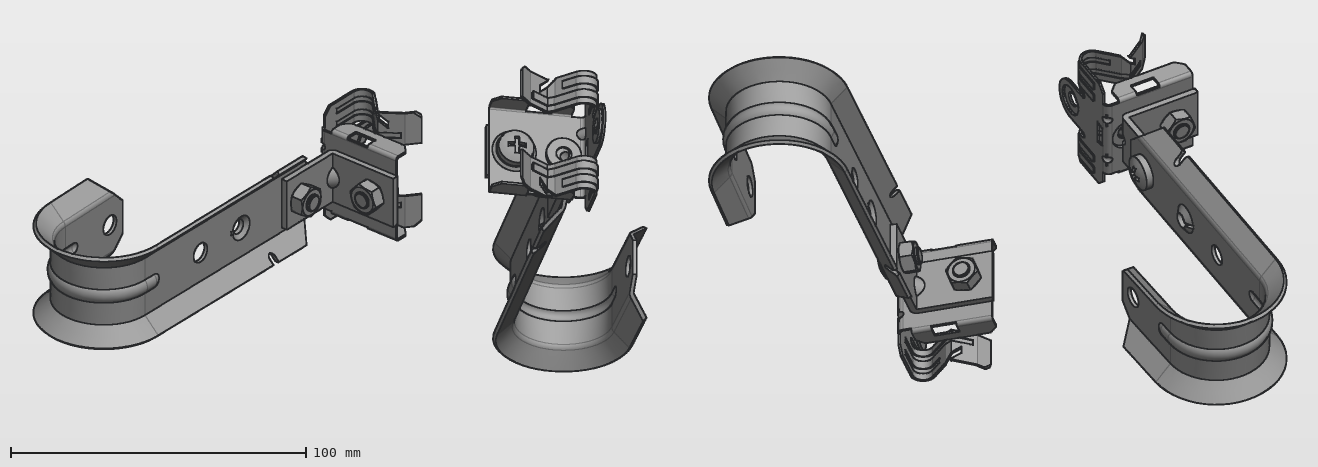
import cadquery as cq
import math


BIG = 100.0

HOOK_WALL = 1.4
HOOK_INNER_RADIUS = 16.7
HOOK_OUTER_RADIUS = HOOK_INNER_RADIUS + HOOK_WALL
HOOK_HALF_WIDTH = 18.0
WEB_HALF_WIDTH = 11.2
WEB_EDGE_RADIUS = 2.6
BACK_TOP = 89.3
FRONT_TOP = 31.2
FRONT_LEAN = 1.5
END_HALF_WIDTH = 6.5
BEAD_RADIUS = 3.9
BEAD_HEIGHT = 1.0
BEAD_CENTRE = HOOK_OUTER_RADIUS + BEAD_HEIGHT - BEAD_RADIUS
BEAD_LIMB_LENGTH = 4.9
BEAD_ROOT = HOOK_OUTER_RADIUS - HOOK_WALL / 4
TIE_HOLE_RADIUS = 3.6
BACK_TIE_HOLE_Y = 29.5
FRONT_TIE_HOLE_Y = 24.2
NOTCH_Y = 62.7
NOTCH_RADIUS = 1.4
NOTCH_BOTTOM = 14.1
NOTCH_LIP = 1.1

PUSH_HOLE_RADIUS = 2.65
PUSH_SLOT_WIDTH = 1.4
HOOK_PUSH_Y = 51.1
HOOK_PUSH_RADIUS = 5.2
HOOK_PUSH_HEIGHT = 1.8

SCREW_RADIUS = 3.0
SCREW_LENGTH = 10.0
SCREW_TIP_CHAMFER = 0.4
HEAD_RADIUS = 6.1
HEAD_RIM = 2.6
HEAD_DOME = 1.95
RECESS_LENGTH = 6.2
RECESS_WIDTH = 1.5
RECESS_DEPTH = 2.0
NUT_FLATS = 10.0
NUT_CORNER_RADIUS = NUT_FLATS / 2 / math.cos(math.pi / 6)
NUT_HEIGHT = 5.2
NUT_CHAMFER = 0.5
SIDE_SCREW_Y = 79.5
CLIP_SCREW_X = 37.7
CLIP_NUT_TURN = -11.0

BRACKET_WALL = 2.3
BRACKET_HALF_WIDTH = 9.5
BRACKET_BEND_RADIUS = BRACKET_WALL
BRACKET_LEFT = HOOK_OUTER_RADIUS
BRACKET_RIGHT = 47.03
BRACKET_TOP = 99.1
BRACKET_END_MARGIN = 7.0
BRACKET_BOTTOM = SIDE_SCREW_Y - BRACKET_END_MARGIN
BRACKET_GROOVE_RADIUS = 2.3
BRACKET_GROOVE_DEPTH = 2.5
BRACKET_RIB_REACH = 5.3

CLIP_WALL = 0.8
CLIP_LEFT = 12.65
CLIP_RIGHT = 46.3
CLIP_BOTTOM = BRACKET_TOP
LEG_BEND_RADIUS = 2.2
FLANGE_BEND_RADIUS = 1.4
CHANNEL_HALF_WIDTH = 16.6
CHANNEL_LEFT = 17.8
CHANNEL_TOP = 107.2
CLIP_CORNER = 2.8
FLANGE_WINDOW_LEFT = 24.8
FLANGE_WINDOW_RIGHT = 33.6
FLANGE_WINDOW_TOP = 103.8
SEAT_RADIUS = 6.5
SEAT_ROOT_RADIUS = 7.6
SEAT_HEIGHT = 1.0
BASE_PUSH_X = 20.8
BASE_PUSH_RADIUS = 6.0
BASE_PUSH_HEIGHT = 1.5
CLIP_GUSSET_Z = 8.8
CLIP_GROOVE_RADIUS = 1.3
CLIP_GROOVE_DEPTH = 1.8
CLIP_RIB_REACH = 3.0

LEG_HALF_WIDTH = 22.3
LEG_BOTTOM = CLIP_BOTTOM + LEG_BEND_RADIUS
TONGUE_TOP = 131.6
TONGUE_HALF_WIDTH = 7.7
TONGUE_CENTRE_Y = TONGUE_TOP - TONGUE_HALF_WIDTH
TONGUE_PUSH_RADIUS = 5.9
TONGUE_PUSH_HEIGHT = 0.9
ARM_INNER_Z = 10.1
ARM_SLOT_BOTTOM = 114.1
ARM_SLOT_CORNER = 1.1
LEG_WINDOW_TOP = 105.3
LEG_WINDOW_BOTTOM = 101.8
LEG_WINDOW_TOP_HALF = 4.5
LEG_WINDOW_BOTTOM_HALF = 3.8
ARM_BEND_RADIUS = 4.4
ARM_BEND_Y = 116.4
ARM_BEND_X = CLIP_LEFT + ARM_BEND_RADIUS
ARM_VALLEY_START = (26.2, 112.7)
ARM_VALLEY_END = (28.7, 111.15)
ARM_KNEE = (35.9, 116.3)
ARM_TIP = (39.5, 120.9)
ARM_TIP_CHAMFER_X = 1.8
ARM_TIP_CHAMFER_Z = 2.4
INNER_RIB_Z = 13.6
OUTER_RIB_Z = 18.7
ARM_RIB_WIDTH = 2.9
ARM_RIB_HEIGHT = 0.45
ARM_RIB_START = 107.0
ARM_RIB_RUN = 5.5
ARM_RIB_CORNER = 0.6
INNER_RIB_END = (34.9, 115.6)

VALLEY_SLIT = [(25.6, 22.7), (27.9, 22.7), (31.6, 18.9), (31.6, 16.3)]
TIP_END = ARM_TIP[0] + CLIP_WALL / 2
TIP_CORNER = [
    (TIP_END + CLIP_WALL, LEG_HALF_WIDTH + CLIP_WALL),
    (TIP_END - ARM_TIP_CHAMFER_X, LEG_HALF_WIDTH + CLIP_WALL),
    (TIP_END - ARM_TIP_CHAMFER_X, LEG_HALF_WIDTH),
    (TIP_END, LEG_HALF_WIDTH - ARM_TIP_CHAMFER_Z),
    (TIP_END + CLIP_WALL, LEG_HALF_WIDTH - ARM_TIP_CHAMFER_Z),
]


def slab(x_range, y_range, z_range):
    (x0, x1), (y0, y1), (z0, z1) = x_range, y_range, z_range
    return cq.Workplane("XY").box(x1 - x0, y1 - y0, z1 - z0, centered=False).translate((x0, y0, z0))


def prism_z(points, z0, z1):
    return cq.Workplane("XY", origin=(0, 0, z0)).polyline(points).close().extrude(z1 - z0)


def prism_x(points, x0, x1):
    """Prism along X from an outline of (y, z) points."""
    return cq.Workplane("YZ", origin=(x0, 0, 0)).polyline(points).close().extrude(x1 - x0)


def prism_y(points):
    """Long prism along Y from an outline of (x, z) points."""
    return cq.Workplane("XZ", origin=(0, 2 * BIG, 0)).polyline(points).close().extrude(4 * BIG)


def rod(radius, start, direction, length):
    return cq.Workplane(cq.Solid.makeCylinder(radius, length, cq.Vector(*start), cq.Vector(*direction)))


def cone(root_radius, tip_radius, height, start, direction):
    """Truncated cone, or a cylinder when both radii agree."""
    if root_radius == tip_radius:
        return rod(root_radius, start, direction, height)
    return cq.Workplane(
        cq.Solid.makeCone(root_radius, tip_radius, height, cq.Vector(*start), cq.Vector(*direction))
    )


def mirrored_z(points):
    return [(a, -b) for a, b in points]


def both_sides(shape):
    return shape.union(shape.mirror("XY"))


def emboss(sheet, face_point, direction, root_radius, tip_radius, height, wall):
    """Push a round boss out of a sheet, hollow from the far side, starting at a point on its face."""
    face = cq.Vector(*face_point)
    way = cq.Vector(*direction)
    back = (face - way * wall).toTuple()
    boss = cone(root_radius, tip_radius, height, face_point, direction)
    hollow = cone(root_radius - wall / 2, tip_radius - wall / 2, height, back, direction)
    return sheet.union(boss).cut(hollow)


def push_hole(sheet, face_point, direction, root_radius, tip_radius, height, wall):
    """Hole through the tip of an embossed boss."""
    sheet = emboss(sheet, face_point, direction, root_radius, tip_radius, height, wall)
    start = (cq.Vector(*face_point) - cq.Vector(*direction) * (2 * wall)).toTuple()
    return sheet.cut(rod(PUSH_HOLE_RADIUS, start, direction, height + 3 * wall))


def push_slot(x_range, y_centre, length):
    """Slot running from the centre of a push-fit hole toward -Y."""
    half = PUSH_SLOT_WIDTH / 2
    return slab(x_range, (y_centre - length, y_centre), (-half, half))


def bend_gusset(sheet, corner, y_sign, z, wall, groove_radius, groove_depth, rib_reach):
    """Round rib pressed diagonally across a bend, with its groove on the outside.

    The bend runs along Z; its inner side lies toward +X and toward y_sign along Y."""
    diagonal = math.sqrt(0.5)
    axis_depth = groove_depth - groove_radius
    along = (diagonal, -y_sign * diagonal, 0)
    length = 4 * rib_reach
    start = (
        corner[0] + diagonal * (axis_depth - length / 2),
        corner[1] + y_sign * diagonal * (axis_depth + length / 2),
        z,
    )
    sheet_middle = wall / 2
    inside = slab((sheet_middle, BIG), (sheet_middle, BIG), (-BIG, BIG))
    if y_sign < 0:
        inside = inside.mirror("XZ")
    inside = inside.translate((corner[0], corner[1], 0))
    rib = rod(rib_reach - axis_depth, start, along, length).intersect(inside)
    return sheet.union(rib).cut(rod(groove_radius, start, along, length))



def sweep_hook(outline, back_length, front_length):
    """Carry an outline of (radius, z) along the back limb, the bend and the leaning front limb."""
    back = outline().extrude(-back_length)
    bend = outline().revolve(180 - FRONT_LEAN, (0, 0), (0, -1))
    front = outline().extrude(-front_length).mirror("YZ").rotate((0, 0, 0), (0, 0, 1), FRONT_LEAN)
    return back.union(bend).union(front)


def hook_section():
    """Flat web with a flange flared outward at 45 degrees on each edge, rounded on the inner side."""
    diagonal = math.sqrt(0.5)
    half_bend = math.pi / 8
    edge_z = WEB_HALF_WIDTH + HOOK_WALL * math.tan(half_bend)
    setback = WEB_EDGE_RADIUS * math.tan(half_bend)
    web_end = (HOOK_INNER_RADIUS, edge_z - setback)
    arc_middle = (
        HOOK_INNER_RADIUS + WEB_EDGE_RADIUS * (1 - math.cos(half_bend)),
        edge_z - setback + WEB_EDGE_RADIUS * math.sin(half_bend),
    )
    flange_start = (HOOK_INNER_RADIUS + setback * diagonal, edge_z + setback * diagonal)
    flange_tip = (HOOK_INNER_RADIUS + HOOK_HALF_WIDTH - edge_z, HOOK_HALF_WIDTH)
    lip = (flange_tip[0] + HOOK_WALL * diagonal, flange_tip[1] - HOOK_WALL * diagonal)
    web_corner = (HOOK_OUTER_RADIUS, WEB_HALF_WIDTH)
    low = mirrored_z([web_end, arc_middle, flange_start, flange_tip, lip, web_corner])
    return (
        cq.Workplane("XZ")
        .moveTo(*low[0])
        .lineTo(*web_end)
        .threePointArc(arc_middle, flange_start)
        .lineTo(*flange_tip)
        .lineTo(*lip)
        .lineTo(*web_corner)
        .lineTo(*low[5])
        .lineTo(*low[4])
        .lineTo(*low[3])
        .lineTo(*low[2])
        .threePointArc(low[1], low[0])
        .close()
    )


def hook_bead(radius):
    """Round bar along the bend with ball ends; only its outermost part shows as the bead."""
    def outline():
        return cq.Workplane("XZ").moveTo(BEAD_CENTRE, 0).circle(radius)

    ball = cq.Workplane("XY").sphere(radius)
    lean = math.radians(FRONT_LEAN)
    front_end = (
        -BEAD_CENTRE * math.cos(lean) - BEAD_LIMB_LENGTH * math.sin(lean),
        -BEAD_CENTRE * math.sin(lean) + BEAD_LIMB_LENGTH * math.cos(lean),
        0,
    )
    bar = sweep_hook(outline, BEAD_LIMB_LENGTH, BEAD_LIMB_LENGTH)
    return bar.union(ball.translate((BEAD_CENTRE, BEAD_LIMB_LENGTH, 0))).union(ball.translate(front_end))


def outside_web():
    """Space on the outer side of the web, where the bead stands proud."""
    def outline():
        return (
            cq.Workplane("XZ")
            .moveTo(BEAD_ROOT, -WEB_HALF_WIDTH)
            .lineTo(HOOK_OUTER_RADIUS + BIG, -WEB_HALF_WIDTH)
            .lineTo(HOOK_OUTER_RADIUS + BIG, WEB_HALF_WIDTH)
            .lineTo(BEAD_ROOT, WEB_HALF_WIDTH)
            .close()
        )

    return sweep_hook(outline, FRONT_TOP, FRONT_TOP)


def end_corner(top, x_range):
    """Corner at a strip end beyond the 45 degree trim line on the +Z side."""
    corner = [
        (top, END_HALF_WIDTH),
        (top - BIG, END_HALF_WIDTH + BIG),
        (top + BIG, END_HALF_WIDTH + BIG),
        (top + BIG, END_HALF_WIDTH),
    ]
    return prism_x(corner, *x_range)


def flange_notch():
    """Round-bottomed notch with flared mouth, through the flange of the back limb along X."""
    centre_z = NOTCH_BOTTOM + NOTCH_RADIUS
    lip_z = HOOK_HALF_WIDTH - NOTCH_LIP
    mouth = NOTCH_RADIUS + NOTCH_LIP
    left = NOTCH_Y - NOTCH_RADIUS
    right = NOTCH_Y + NOTCH_RADIUS
    curve = NOTCH_LIP * (1 - math.sqrt(0.5))
    return (
        cq.Workplane("YZ")
        .moveTo(left, centre_z)
        .threePointArc((NOTCH_Y, NOTCH_BOTTOM), (right, centre_z))
        .lineTo(right, lip_z)
        .threePointArc((right + curve, HOOK_HALF_WIDTH - curve), (NOTCH_Y + mouth, HOOK_HALF_WIDTH))
        .lineTo(NOTCH_Y + mouth, HOOK_HALF_WIDTH + 1)
        .lineTo(NOTCH_Y - mouth, HOOK_HALF_WIDTH + 1)
        .lineTo(NOTCH_Y - mouth, HOOK_HALF_WIDTH)
        .threePointArc((left - curve, HOOK_HALF_WIDTH - curve), (left, lip_z))
        .close()
        .extrude(BIG)
    )


def make_hook():
    back_side = (0, BIG)
    front_side = (-BIG, 0)
    hook = sweep_hook(hook_section, BACK_TOP, BIG)
    hook = hook.cut(slab(front_side, (FRONT_TOP, 2 * BIG), (-BIG, BIG)))
    hook = hook.union(hook_bead(BEAD_RADIUS).intersect(outside_web()))
    hook = hook.cut(hook_bead(BEAD_RADIUS - HOOK_WALL))
    hook = hook.cut(both_sides(end_corner(BACK_TOP, back_side)))
    hook = hook.cut(both_sides(end_corner(FRONT_TOP, front_side)))
    hook = hook.cut(both_sides(flange_notch()))
    hook = hook.cut(rod(TIE_HOLE_RADIUS, (0, BACK_TIE_HOLE_Y, 0), (1, 0, 0), BIG))
    hook = hook.cut(rod(TIE_HOLE_RADIUS, (0, FRONT_TIE_HOLE_Y, 0), (-1, 0, 0), BIG))
    hook = hook.cut(rod(SCREW_RADIUS, (0, SIDE_SCREW_Y, 0), (1, 0, 0), BIG))
    push_face = (HOOK_INNER_RADIUS, HOOK_PUSH_Y, 0)
    hook = push_hole(
        hook, push_face, (-1, 0, 0), HOOK_PUSH_RADIUS, PUSH_HOLE_RADIUS, HOOK_PUSH_HEIGHT, HOOK_WALL
    )
    return hook.cut(push_slot(back_side, HOOK_PUSH_Y, HOOK_PUSH_RADIUS))



def make_bracket():
    """Angle with one leg along Y behind the hook and one along X under the clip."""
    corner = (BRACKET_LEFT, BRACKET_TOP)
    inner_x = BRACKET_LEFT + BRACKET_WALL
    inner_y = BRACKET_TOP - BRACKET_WALL
    outline = [
        corner,
        (BRACKET_RIGHT, BRACKET_TOP),
        (BRACKET_RIGHT, inner_y),
        (inner_x, inner_y),
        (inner_x, BRACKET_BOTTOM),
        (BRACKET_LEFT, BRACKET_BOTTOM),
    ]
    bracket = prism_z(outline, -BRACKET_HALF_WIDTH, BRACKET_HALF_WIDTH)
    bracket = bracket.edges(cq.NearestToPointSelector((*corner, 0))).fillet(BRACKET_BEND_RADIUS)
    bracket = bend_gusset(
        bracket, corner, -1, 0, BRACKET_WALL, BRACKET_GROOVE_RADIUS, BRACKET_GROOVE_DEPTH, BRACKET_RIB_REACH
    )
    bracket = bracket.cut(rod(SCREW_RADIUS, (0, SIDE_SCREW_Y, 0), (1, 0, 0), BIG))
    return bracket.cut(rod(SCREW_RADIUS, (CLIP_SCREW_X, 0, 0), (0, 1, 0), 2 * BIG))



def clip_angle():
    """Bend that joins the foot of the leg to the flat of the base, clear of the flange bends."""
    inner_x = CLIP_LEFT + CLIP_WALL
    inner_y = CLIP_BOTTOM + CLIP_WALL
    outline = [
        (CLIP_LEFT, CLIP_BOTTOM),
        (CHANNEL_LEFT, CLIP_BOTTOM),
        (CHANNEL_LEFT, inner_y),
        (inner_x, inner_y),
        (inner_x, LEG_WINDOW_BOTTOM),
        (CLIP_LEFT, LEG_WINDOW_BOTTOM),
    ]
    flat_half = CHANNEL_HALF_WIDTH - FLANGE_BEND_RADIUS
    angle = prism_z(outline, -flat_half, flat_half)
    angle = angle.edges(cq.NearestToPointSelector((CLIP_LEFT, CLIP_BOTTOM, 0))).fillet(LEG_BEND_RADIUS)
    inner_edge = cq.NearestToPointSelector((inner_x, inner_y, 0))
    return angle.edges(inner_edge).fillet(LEG_BEND_RADIUS - CLIP_WALL)


def clip_channel():
    """Base with a flange along each long edge, the flange corners trimmed."""
    x_range = (CHANNEL_LEFT, CLIP_RIGHT)
    inner_half = CHANNEL_HALF_WIDTH - CLIP_WALL
    outside = slab(x_range, (CLIP_BOTTOM, CHANNEL_TOP), (-CHANNEL_HALF_WIDTH, CHANNEL_HALF_WIDTH))
    inside = slab(x_range, (CLIP_BOTTOM + CLIP_WALL, CHANNEL_TOP), (-inner_half, inner_half))
    outside = outside.edges("|X and <Y").fillet(FLANGE_BEND_RADIUS)
    inside = inside.edges("|X and <Y").fillet(FLANGE_BEND_RADIUS - CLIP_WALL)
    channel = outside.cut(inside).edges("|Z and >Y").chamfer(CLIP_CORNER)
    window = slab(
        (FLANGE_WINDOW_LEFT, FLANGE_WINDOW_RIGHT),
        (CLIP_BOTTOM, FLANGE_WINDOW_TOP),
        (inner_half - CLIP_WALL / 4, CHANNEL_HALF_WIDTH),
    )
    return channel.cut(both_sides(window))


def clip_leg():
    """Upright leg with its central round-ended tongue, up to the root of the spring arms."""
    x_range = (CLIP_LEFT, CLIP_LEFT + CLIP_WALL)
    leg = slab(x_range, (LEG_BOTTOM, ARM_BEND_Y), (-LEG_HALF_WIDTH, LEG_HALF_WIDTH))
    leg = leg.edges("|X and <Y").chamfer(CLIP_CORNER)
    slot = slab(x_range, (ARM_SLOT_BOTTOM, BIG * 2), (TONGUE_HALF_WIDTH, ARM_INNER_Z))
    slot = slot.edges("|X and <Y").fillet(ARM_SLOT_CORNER)
    tongue = slab(x_range, (LEG_BOTTOM, TONGUE_CENTRE_Y), (-TONGUE_HALF_WIDTH, TONGUE_HALF_WIDTH))
    tongue_end = rod(TONGUE_HALF_WIDTH, (CLIP_LEFT, TONGUE_CENTRE_Y, 0), (1, 0, 0), CLIP_WALL)
    window = [
        (LEG_WINDOW_BOTTOM, LEG_WINDOW_BOTTOM_HALF),
        (LEG_WINDOW_TOP, LEG_WINDOW_TOP_HALF),
        (LEG_WINDOW_TOP, -LEG_WINDOW_TOP_HALF),
        (LEG_WINDOW_BOTTOM, -LEG_WINDOW_BOTTOM_HALF),
    ]
    leg = leg.cut(both_sides(slot)).union(tongue).union(tongue_end)
    return leg.cut(prism_x(window, *x_range))


def arm_direction():
    """Unit vector down the falling part of the arm, square to the end of its bend."""
    root = (ARM_BEND_X, ARM_BEND_Y)
    middle_radius = ARM_BEND_RADIUS - CLIP_WALL / 2
    dx = ARM_VALLEY_START[0] - root[0]
    dy = ARM_VALLEY_START[1] - root[1]
    angle = math.atan2(dy, dx) - math.asin(middle_radius / math.hypot(dx, dy))
    return math.cos(angle), math.sin(angle)


def arm_band(low, high, leg_start, run, z0, z1):
    """Band between two radii that climbs the leg, rounds the bend and falls along the arm."""
    ux, uy = arm_direction()
    nx, ny = -uy, ux
    turn = math.atan2(ny, nx)
    half_turn = (math.pi + turn) / 2

    def on_bend(radius, angle):
        return ARM_BEND_X + radius * math.cos(angle), ARM_BEND_Y + radius * math.sin(angle)

    def at_end(radius):
        return ARM_BEND_X + radius * nx + run * ux, ARM_BEND_Y + radius * ny + run * uy

    return (
        cq.Workplane("XY", origin=(0, 0, z0))
        .moveTo(ARM_BEND_X - high, leg_start)
        .lineTo(ARM_BEND_X - high, ARM_BEND_Y)
        .threePointArc(on_bend(high, half_turn), on_bend(high, turn))
        .lineTo(*at_end(high))
        .lineTo(*at_end(low))
        .lineTo(*on_bend(low, turn))
        .threePointArc(on_bend(low, half_turn), on_bend(low, math.pi))
        .lineTo(ARM_BEND_X - low, leg_start)
        .close()
        .extrude(z1 - z0)
    )


def strip(points, low, high, z0, z1):
    """Bent strip between two offsets to the left of a line of points, mitred at its corners."""
    angles = [math.atan2(b[1] - a[1], b[0] - a[0]) for a, b in zip(points, points[1:])]
    before = [angles[0]] + angles
    after = angles + [angles[-1]]

    def offset_line(offset):
        line = []
        for (x, y), a, b in zip(points, before, after):
            normal = (a + b + math.pi) / 2
            reach = offset / math.cos((b - a) / 2)
            line.append((x + reach * math.cos(normal), y + reach * math.sin(normal)))
        return line

    return prism_z(offset_line(low) + offset_line(high)[::-1], z0, z1)


def arm_bend_end():
    """Middle of the sheet where the arm leaves its bend."""
    ux, uy = arm_direction()
    middle_radius = ARM_BEND_RADIUS - CLIP_WALL / 2
    return ARM_BEND_X - middle_radius * uy, ARM_BEND_Y + middle_radius * ux


def spring_arm():
    """Arm on the +Z side: a bend off the leg, a V-shaped valley and a flared tip."""
    half_wall = CLIP_WALL / 2
    z_range = (ARM_INNER_Z, LEG_HALF_WIDTH)
    points = [arm_bend_end(), ARM_VALLEY_START, ARM_VALLEY_END, ARM_KNEE, ARM_TIP]
    arm = arm_band(ARM_BEND_RADIUS - CLIP_WALL, ARM_BEND_RADIUS, ARM_SLOT_BOTTOM, ARM_RIB_RUN, *z_range)
    arm = arm.union(strip(points, -half_wall, half_wall, *z_range))
    return arm.cut(prism_y(VALLEY_SLIT)).cut(prism_y(TIP_CORNER))


def valley_rib_line():
    return [arm_bend_end(), ARM_VALLEY_START, ARM_VALLEY_END, INNER_RIB_END]


def arm_ribs():
    """Ribs of the +Z arm pressed outward over its bend; the inner one runs on through the valley."""
    half = ARM_RIB_WIDTH / 2
    middle_radius = ARM_BEND_RADIUS - CLIP_WALL / 2
    top_radius = ARM_BEND_RADIUS + ARM_RIB_HEIGHT

    def bend_rib(z):
        rib = arm_band(middle_radius, top_radius, ARM_RIB_START, ARM_RIB_RUN, z - half, z + half)
        return rib.edges("|X and <Y").fillet(ARM_RIB_CORNER)

    z_range = (INNER_RIB_Z - half, INNER_RIB_Z + half)
    valley_rib = strip(valley_rib_line(), 0, top_radius - middle_radius, *z_range)
    return bend_rib(INNER_RIB_Z).union(valley_rib).union(bend_rib(OUTER_RIB_Z))


def arm_grooves():
    """Hollows on the inside of the arm ribs."""
    half = ARM_RIB_WIDTH / 2 - ARM_RIB_HEIGHT
    start = ARM_RIB_START + ARM_RIB_HEIGHT
    run = ARM_RIB_RUN - ARM_RIB_HEIGHT
    middle_radius = ARM_BEND_RADIUS - CLIP_WALL / 2
    low_radius = middle_radius - CLIP_WALL
    high_radius = ARM_BEND_RADIUS - CLIP_WALL + ARM_RIB_HEIGHT
    low = low_radius - middle_radius
    high = high_radius - middle_radius
    inner_range = (INNER_RIB_Z - half, INNER_RIB_Z + half)
    outer_range = (OUTER_RIB_Z - half, OUTER_RIB_Z + half)
    inner_groove = arm_band(low_radius, high_radius, start, run, *inner_range)
    valley_groove = strip(valley_rib_line(), low, high, *inner_range)
    outer_groove = arm_band(low_radius, high_radius, start, run, *outer_range)
    return inner_groove.union(valley_groove).union(outer_groove)


def straight_push_hole(clip, face_point, direction, radius, height):
    """Hole through a flat-topped, straight-sided boss in the clip sheet."""
    return push_hole(clip, face_point, direction, radius, radius, height, CLIP_WALL)


def make_clip():
    clip = clip_angle().union(clip_channel()).union(clip_leg())
    arm = spring_arm()
    clip = clip.union(arm).union(arm.mirror("XY"))
    clip = clip.union(both_sides(arm_ribs())).cut(both_sides(arm_grooves()))
    for z in (-CLIP_GUSSET_Z, CLIP_GUSSET_Z):
        clip = bend_gusset(
            clip, (CLIP_LEFT, CLIP_BOTTOM), 1, z, CLIP_WALL,
            CLIP_GROOVE_RADIUS, CLIP_GROOVE_DEPTH, CLIP_RIB_REACH,
        )
    base_top = CLIP_BOTTOM + CLIP_WALL
    clip = emboss(
        clip, (CLIP_SCREW_X, base_top, 0), (0, 1, 0), SEAT_ROOT_RADIUS, SEAT_RADIUS, SEAT_HEIGHT, CLIP_WALL
    )
    clip = clip.cut(rod(SCREW_RADIUS, (CLIP_SCREW_X, 0, 0), (0, 1, 0), 2 * BIG))
    base_face = (BASE_PUSH_X, base_top, 0)
    clip = straight_push_hole(clip, base_face, (0, 1, 0), BASE_PUSH_RADIUS, BASE_PUSH_HEIGHT)
    tongue_face = (CLIP_LEFT + CLIP_WALL, TONGUE_CENTRE_Y, 0)
    clip = straight_push_hole(clip, tongue_face, (1, 0, 0), TONGUE_PUSH_RADIUS, TONGUE_PUSH_HEIGHT)
    tongue_depth = (CLIP_LEFT - CLIP_WALL, CLIP_LEFT + 2 * CLIP_WALL + TONGUE_PUSH_HEIGHT)
    return clip.cut(push_slot(tongue_depth, TONGUE_CENTRE_Y, TONGUE_PUSH_RADIUS - CLIP_WALL / 2))



def make_screw():
    """Cross-recessed domed screw along Z, its shank pointing to +Z and its head seated at Z = 0."""
    shank = cq.Workplane("XY").circle(SCREW_RADIUS).extrude(SCREW_LENGTH)
    shank = shank.faces(">Z").chamfer(SCREW_TIP_CHAMFER)
    crown = HEAD_RIM + HEAD_DOME
    dome_radius = (HEAD_RADIUS**2 + HEAD_DOME**2) / (2 * HEAD_DOME)
    head = cq.Workplane("XY").circle(HEAD_RADIUS).extrude(-crown)
    head = head.intersect(cq.Workplane("XY").sphere(dome_radius).translate((0, 0, dome_radius - crown)))
    recess = (
        cq.Workplane("XY", origin=(0, 0, -crown))
        .rect(RECESS_LENGTH, RECESS_WIDTH)
        .extrude(RECESS_DEPTH)
    )
    recess = recess.union(recess.rotate((0, 0, 0), (0, 0, 1), 90))
    return shank.union(head.cut(recess))


def make_nut():
    """Hexagon nut along +Z with corners on X and both ends chamfered."""
    nut = cq.Workplane("XY").polygon(6, 2 * NUT_CORNER_RADIUS).extrude(NUT_HEIGHT)
    envelope = cq.Workplane("XY").circle(NUT_CORNER_RADIUS).extrude(NUT_HEIGHT)
    envelope = envelope.edges().chamfer(NUT_CHAMFER, 2 * NUT_CHAMFER)
    return nut.intersect(envelope).cut(cq.Workplane("XY").circle(SCREW_RADIUS).extrude(NUT_HEIGHT))


def along_x(shape):
    return shape.rotate((0, 0, 0), (0, 1, 0), 90)


def along_minus_y(shape):
    return shape.rotate((0, 0, 0), (1, 0, 0), 90)


def make_screws():
    seat_y = CLIP_BOTTOM + CLIP_WALL + SEAT_HEIGHT
    side = along_x(make_screw()).translate((HOOK_INNER_RADIUS, SIDE_SCREW_Y, 0))
    clip = along_minus_y(make_screw()).translate((CLIP_SCREW_X, seat_y, 0))
    return [side, clip]


def make_nuts():
    turned = make_nut().rotate((0, 0, 0), (0, 0, 1), CLIP_NUT_TURN)
    side = along_x(make_nut()).translate((BRACKET_LEFT + BRACKET_WALL, SIDE_SCREW_Y, 0))
    clip = along_minus_y(turned).translate((CLIP_SCREW_X, BRACKET_TOP - BRACKET_WALL, 0))
    return [side, clip]


hook = make_hook()
bracket = make_bracket()
clip = make_clip()
screws = make_screws()
nuts = make_nuts()
fasteners = [fastener.val() for fastener in screws + nuts]
result = cq.Compound.makeCompound([hook.val(), bracket.val(), clip.val(), *fasteners])